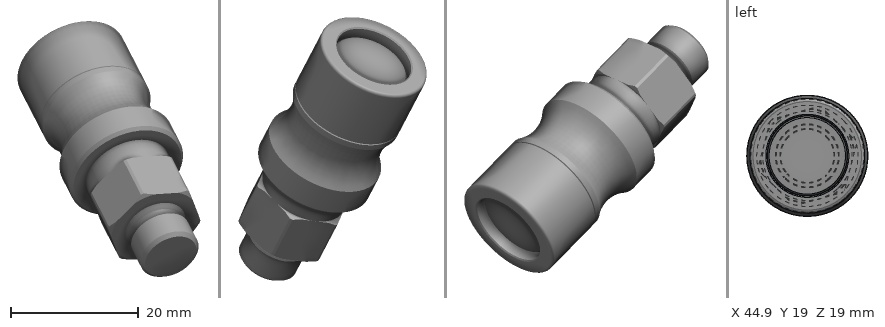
import cadquery as cq
import math


sleeve_length = 25.5
front_diameter = 18.0
front_fillet = 0.5
bore_diameter = 12.6
mouth_diameter = 13.0
groove_position = 10.7
groove_width = 0.22
groove_depth = 0.15
waist_start = 11.8
waist_middle = 15.75
waist_diameter = 15.85
waist_end = 20.47
rear_diameter = 19.0
rear_chamfer = 0.5

plug_diameter = 12.5
plug_face_position = 1.8
plug_face_diameter = 12.0
neck_diameter = 14.0
neck_start = groove_position
hex_start = 29.35
hex_end = 37.9
hex_across_flats = 14.0
hex_corner_diameter = 15.9
hex_corner_angle = 15.5
hex_front_face_diameter = 14.8
hex_rear_face_diameter = 14.6
hex_chamfer_angle = 30.0

relief_front_diameter = 10.0
relief_arc_start = 38.55
relief_bottom_position = 39.1
relief_bottom_diameter = 8.35
relief_arc_end = 39.95
thread_start = 40.2
thread_diameter = 9.75
thread_chamfer = 0.6
total_length = 44.9


def turn(profile):
    """Revolve a closed XY half profile about the X axis."""
    return profile.close().revolve(360, (0, 0, 0), (1, 0, 0))


def make_sleeve():
    front_radius = front_diameter / 2
    rear_radius = rear_diameter / 2
    bore_radius = bore_diameter / 2
    mouth_radius = mouth_diameter / 2
    neck_radius = neck_diameter / 2
    fillet_middle = front_fillet * (1 - math.sqrt(0.5))
    profile = (
        cq.Workplane("XY")
        .moveTo(0, mouth_radius)
        .lineTo(0, front_radius - front_fillet)
        .threePointArc((fillet_middle, front_radius - fillet_middle), (front_fillet, front_radius))
        .lineTo(groove_position - groove_width / 2, front_radius)
        .lineTo(groove_position, front_radius - groove_depth)
        .lineTo(groove_position + groove_width / 2, front_radius)
        .lineTo(waist_start, front_radius)
        .threePointArc((waist_middle, waist_diameter / 2), (waist_end, rear_radius))
        .lineTo(sleeve_length - rear_chamfer, rear_radius)
        .lineTo(sleeve_length, rear_radius - rear_chamfer)
        .lineTo(sleeve_length, neck_radius)
        .lineTo(neck_start, neck_radius)
        .lineTo(neck_start, bore_radius)
        .lineTo(mouth_radius - bore_radius, bore_radius)
    )
    return turn(profile)


def make_plug_and_neck():
    plug_radius = plug_diameter / 2
    plug_face_radius = plug_face_diameter / 2
    profile = (
        cq.Workplane("XY")
        .moveTo(plug_face_position, 0)
        .lineTo(plug_face_position, plug_face_radius)
        .lineTo(plug_face_position + plug_radius - plug_face_radius, plug_radius)
        .lineTo(neck_start, plug_radius)
        .lineTo(neck_start, neck_diameter / 2)
        .lineTo(hex_start, neck_diameter / 2)
        .lineTo(hex_start, 0)
    )
    return turn(profile)


def make_hexagon():
    """Hexagon with rounded corners and a conical chamfer at both ends."""
    full_corner_diameter = hex_across_flats / math.cos(math.radians(30))
    prism = (
        cq.Workplane("YZ", origin=(hex_start, 0, 0))
        .polygon(6, full_corner_diameter)
        .extrude(hex_end - hex_start)
        .rotate((0, 0, 0), (1, 0, 0), -hex_corner_angle)
    )
    corner_radius = hex_corner_diameter / 2
    front_face_radius = hex_front_face_diameter / 2
    rear_face_radius = hex_rear_face_diameter / 2
    chamfer_slope = math.tan(math.radians(hex_chamfer_angle))
    envelope = (
        cq.Workplane("XY")
        .moveTo(hex_start, 0)
        .lineTo(hex_start, front_face_radius)
        .lineTo(hex_start + (corner_radius - front_face_radius) * chamfer_slope, corner_radius)
        .lineTo(hex_end - (corner_radius - rear_face_radius) * chamfer_slope, corner_radius)
        .lineTo(hex_end, rear_face_radius)
        .lineTo(hex_end, 0)
    )
    return prism.intersect(turn(envelope))


def make_threaded_end():
    thread_radius = thread_diameter / 2
    arc_start_radius = relief_front_diameter / 2 - (relief_arc_start - hex_end)
    arc_end_radius = thread_radius - (thread_start - relief_arc_end)
    profile = (
        cq.Workplane("XY")
        .moveTo(hex_end, 0)
        .lineTo(hex_end, relief_front_diameter / 2)
        .lineTo(relief_arc_start, arc_start_radius)
        .threePointArc(
            (relief_bottom_position, relief_bottom_diameter / 2),
            (relief_arc_end, arc_end_radius),
        )
        .lineTo(thread_start, thread_radius)
        .lineTo(total_length - thread_chamfer, thread_radius)
        .lineTo(total_length, thread_radius - thread_chamfer)
        .lineTo(total_length, 0)
    )
    return turn(profile)


def make_insert():
    return make_plug_and_neck().union(make_hexagon()).union(make_threaded_end())


sleeve = make_sleeve()
insert = make_insert()
result = cq.Compound.makeCompound([sleeve.val(), insert.val()])